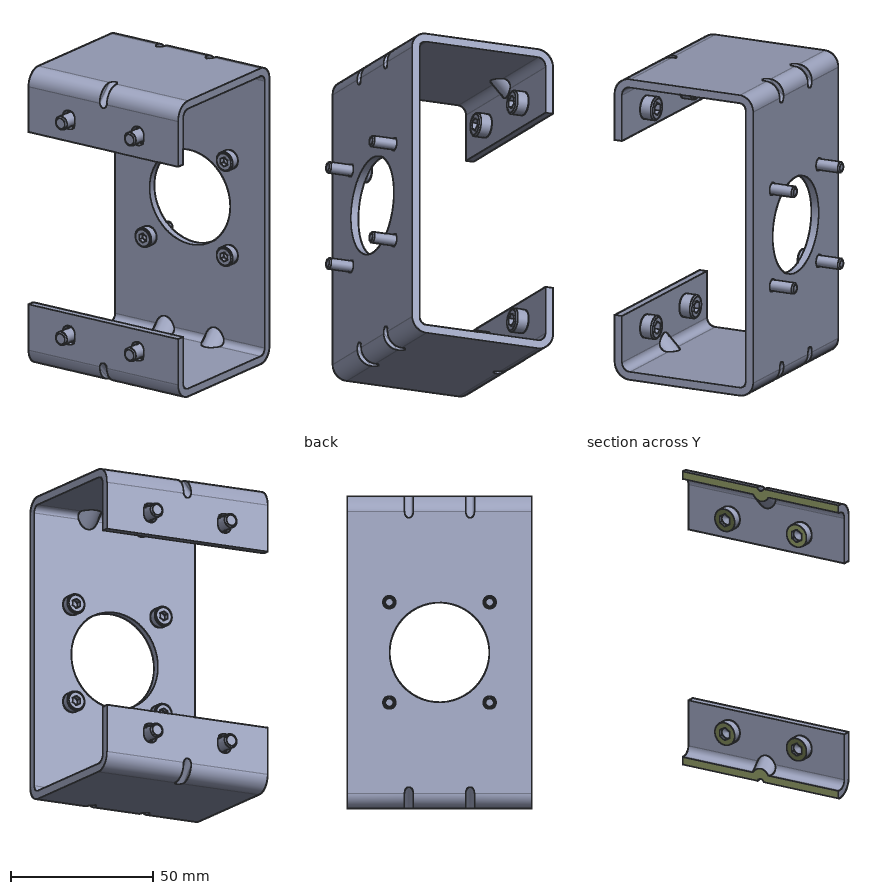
import cadquery as cq
import math

WIDTH = 65.0
DEPTH = 55.0
HEIGHT = 110.0
THICKNESS = 3.0
LIP_HEIGHT = 23.0
BACK_BEND_RADIUS = 5.4
FRONT_BEND_RADIUS = 6.0
BORE_DIAMETER = 35.0

DIMPLE_GROOVE_RADIUS = 1.5
DIMPLE_RIB_RADIUS = 4.4
DIMPLE_AXIS_OFFSET = 3.8
BACK_DIMPLE_X = 10.8
DIMPLE_LENGTH = 33.0

BACK_BOLT_CIRCLE_RADIUS = 25.0
BACK_SCREW_OFFSET = BACK_BOLT_CIRCLE_RADIUS * math.sqrt(0.5)
BACK_HOLE_DIAMETER = 4.5
BACK_SHANK_DIAMETER = 4.0
BACK_SHANK_LENGTH = 12.0
BACK_HEAD_DIAMETER = 7.0
BACK_HEAD_HEIGHT = 4.0
BACK_SOCKET_SIZE = 3.0
BACK_HEAD_CHAMFER = 0.4

LIP_SCREW_X = 15.0
LIP_SCREW_Z = 40.0
SLOT_WIDTH = 5.3
SLOT_LENGTH = 7.0
LIP_SHANK_DIAMETER = 5.0
LIP_SHANK_LENGTH = 7.9
LIP_HEAD_DIAMETER = 8.5
LIP_HEAD_HEIGHT = 5.0
LIP_SOCKET_SIZE = 4.0
LIP_HEAD_CHAMFER = 0.5

HEAD_BASE_CHAMFER = 0.3
SOCKET_POINT_ANGLE = 120.0
TIP_CHAMFER = 0.5

FRONT_OUTER_Y = -DEPTH / 2
FRONT_INNER_Y = FRONT_OUTER_Y + THICKNESS
BACK_OUTER_Y = DEPTH / 2
BACK_INNER_Y = BACK_OUTER_Y - THICKNESS
TOP_Z = HEIGHT / 2

SIGNS = (-1, 1)


def rounded_block(inset):
    """Block across the full width, inset on its four long sides, with bend radii reduced to match."""
    block = cq.Workplane("XY").box(WIDTH, DEPTH - 2 * inset, HEIGHT - 2 * inset)
    block = block.edges("|X and >Y").fillet(BACK_BEND_RADIUS - inset)
    return block.edges("|X and <Y").fillet(FRONT_BEND_RADIUS - inset)


def dimple_rod(x, y_side, z_side, radius):
    """Round-bottomed bar in a YZ plane, crossing the chosen outer corner at 45 degrees.

    The bar is round toward the inside of the channel and straight-sided toward the corner.
    """
    profile = (
        cq.Workplane("YZ")
        .moveTo(-radius, 0).threePointArc((0, -radius), (radius, 0))
        .lineTo(radius, DIMPLE_AXIS_OFFSET).lineTo(-radius, DIMPLE_AXIS_OFFSET).close()
    )
    bar = profile.extrude(DIMPLE_LENGTH / 2, both=True)
    bar = bar.rotate((0, 0, 0), (0, 0, 1), 90).rotate((0, 0, 0), (1, 0, 0), -45 * y_side)
    if z_side < 0:
        bar = bar.mirror("XY")
    step = DIMPLE_AXIS_OFFSET * math.sqrt(0.5)
    return bar.translate((x, y_side * (DEPTH / 2 - step), z_side * (TOP_Z - step)))


def make_bracket():
    envelope = rounded_block(0)
    opening = cq.Workplane("XY").box(WIDTH, DEPTH, HEIGHT - 2 * LIP_HEIGHT)
    opening = opening.translate((0, -THICKNESS - FRONT_BEND_RADIUS, 0))
    bracket = envelope.cut(rounded_block(THICKNESS)).cut(opening)

    dimples = [(x, 1, z_side) for x in (-BACK_DIMPLE_X, BACK_DIMPLE_X) for z_side in SIGNS]
    dimples += [(0, -1, z_side) for z_side in SIGNS]
    for dimple in dimples:
        rib = dimple_rod(*dimple, DIMPLE_RIB_RADIUS).intersect(envelope)
        bracket = bracket.union(rib)
    for dimple in dimples:
        bracket = bracket.cut(dimple_rod(*dimple, DIMPLE_GROOVE_RADIUS))

    back_face = cq.Workplane("XZ", origin=(0, BACK_OUTER_Y, 0))
    bore = back_face.circle(BORE_DIAMETER / 2).extrude(THICKNESS)
    back_holes = (
        back_face.rect(2 * BACK_SCREW_OFFSET, 2 * BACK_SCREW_OFFSET, forConstruction=True)
        .vertices().circle(BACK_HOLE_DIAMETER / 2).extrude(THICKNESS)
    )
    slots = (
        cq.Workplane("XZ", origin=(0, FRONT_INNER_Y, 0))
        .rect(2 * LIP_SCREW_X, 2 * LIP_SCREW_Z, forConstruction=True)
        .vertices().slot2D(SLOT_LENGTH, SLOT_WIDTH, 90).extrude(THICKNESS)
    )
    return bracket.cut(bore).cut(back_holes).cut(slots)


def make_socket_screw(shank_diameter, shank_length, head_diameter, head_height, head_chamfer, socket_size):
    """Screw along Z: head above the XY plane, shank below it."""
    head = cq.Workplane("XY").circle(head_diameter / 2).extrude(head_height)
    head = head.faces(">Z").chamfer(head_chamfer).faces("<Z").chamfer(HEAD_BASE_CHAMFER)
    shank = cq.Workplane("XY").circle(shank_diameter / 2).extrude(-shank_length)
    shank = shank.faces("<Z").chamfer(TIP_CHAMFER)

    socket_depth = head_height / 2
    socket = (
        cq.Workplane("XY", origin=(0, 0, head_height))
        .polygon(6, socket_size, circumscribed=True).extrude(-socket_depth)
    )
    cone_radius = socket_size / 2
    cone_depth = cone_radius / math.tan(math.radians(SOCKET_POINT_ANGLE / 2))
    socket_point = cq.Workplane(cq.Solid.makeCone(
        cone_radius, 0, cone_depth, cq.Vector(0, 0, head_height - socket_depth), cq.Vector(0, 0, -1)
    ))
    return head.union(shank).cut(socket).cut(socket_point)


def make_back_screw(x, z):
    screw = make_socket_screw(
        BACK_SHANK_DIAMETER, BACK_SHANK_LENGTH, BACK_HEAD_DIAMETER, BACK_HEAD_HEIGHT,
        BACK_HEAD_CHAMFER, BACK_SOCKET_SIZE
    )
    screw = screw.rotate((0, 0, 0), (1, 0, 0), 90)
    return screw.translate((x, BACK_INNER_Y, z))


def make_lip_screw(x, z):
    screw = make_socket_screw(
        LIP_SHANK_DIAMETER, LIP_SHANK_LENGTH, LIP_HEAD_DIAMETER, LIP_HEAD_HEIGHT,
        LIP_HEAD_CHAMFER, LIP_SOCKET_SIZE
    )
    screw = screw.rotate((0, 0, 0), (1, 0, 0), -90)
    return screw.translate((x, FRONT_INNER_Y, z))


bracket = make_bracket()
back_screws = []
lip_screws = []
for x_side in SIGNS:
    for z_side in SIGNS:
        back_screws.append(make_back_screw(x_side * BACK_SCREW_OFFSET, z_side * BACK_SCREW_OFFSET))
        lip_screws.append(make_lip_screw(x_side * LIP_SCREW_X, z_side * LIP_SCREW_Z))

result = cq.Compound.makeCompound([
    bracket.val(),
    *[screw.val() for screw in back_screws],
    *[screw.val() for screw in lip_screws],
])